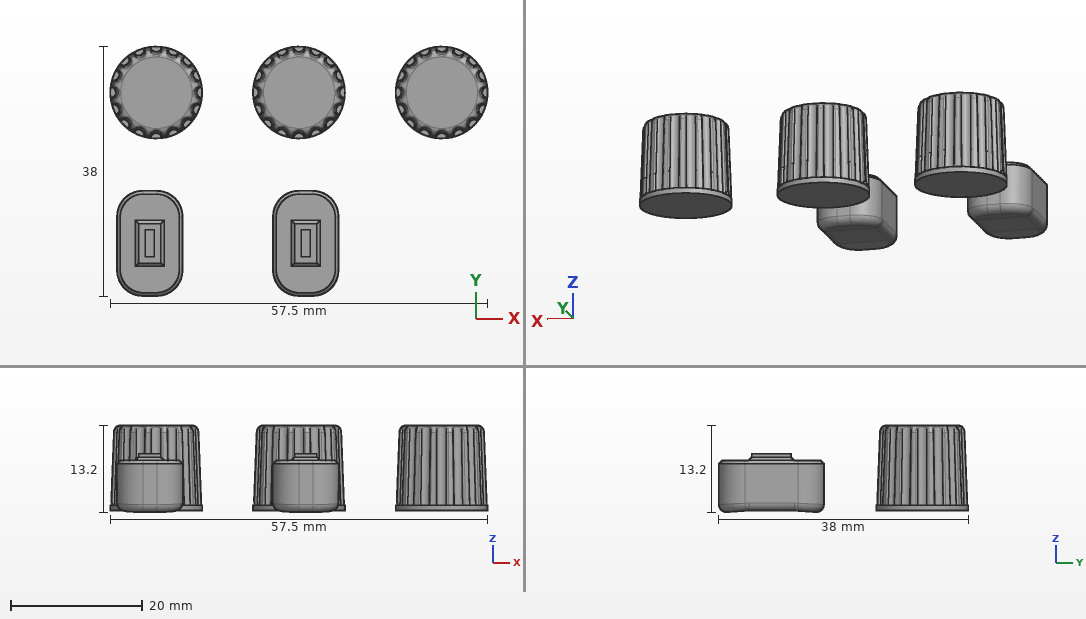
import cadquery as cq
import math

overall_width = 57.45
overall_depth = 38.0
knob_count = 3
button_count = 2
first_button_offset = -1.0
button_spacing = 23.7

base_diameter = 14.0
base_thickness = 0.85

knob_height = 13.0
grip_bottom_diameter = 13.9
grip_draft = 2.2
grip_top_fillet = 1.1

flute_count = 16
flute_floor_diameter = 12.35
flute_width = 1.45
flute_floor_sag = 0.4
flute_edge_radius = 0.25

notch_axis_height = -0.8
notch_mouth_radius = 2.5
notch_tip_radius = 2.0
notch_depth = 1.45

button_width = 10.0
button_length = 16.0
button_top = 7.65
button_corner_radius = 3.95
button_top_chamfer = 0.5
underside_flat_length = 6.9
underside_slope = 4.0
button_bottom_fillet = 1.2

boss_width = 3.4
boss_length = 6.0
boss_height = 1.05
boss_foot_size = 0.5
slot_width = 1.4
slot_length = 4.15
slot_depth = 2.9

base_radius = base_diameter / 2
knob_spacing = (overall_width - base_diameter) / (knob_count - 1)
button_row_y = -(overall_depth - base_radius - button_length / 2)


def make_base():
    return cq.Workplane("XY").circle(base_radius).extrude(base_thickness)


def make_flute_cutter():
    """Channel on the +X side with a concave floor, leaning inward with the draft of the grip."""
    half_width = flute_width / 2
    floor_x = flute_floor_diameter / 2
    channel_depth = 2 * (base_radius - floor_x)
    channel = (
        cq.Workplane("XY", origin=(floor_x, 0, base_thickness - 0.6))
        .moveTo(flute_floor_sag, -half_width)
        .threePointArc((0, 0), (flute_floor_sag, half_width))
        .lineTo(channel_depth, half_width)
        .lineTo(channel_depth, -half_width)
        .close()
        .extrude(knob_height)
    )
    return channel.rotate((floor_x, 0, base_thickness), (floor_x, 1, base_thickness), -grip_draft)


def make_grip_sector():
    """One flute pitch of the grip, centred on +X, with the rim of its flute rounded."""
    blank = (
        cq.Workplane("XY", origin=(0, 0, base_thickness))
        .circle(grip_bottom_diameter / 2)
        .extrude(knob_height - base_thickness, taper=grip_draft)
        .faces(">Z")
        .edges()
        .fillet(grip_top_fillet)
        .rotate((0, 0, 0), (0, 0, 1), 180)
    )
    reach = base_diameter
    half_side = reach * math.tan(math.pi / flute_count)
    wedge = (
        cq.Workplane("XY")
        .polyline([(0, 0), (reach, -half_side), (reach, half_side)])
        .close()
        .extrude(2 * knob_height)
    )
    sector = blank.intersect(wedge).cut(make_flute_cutter())
    margin = 0.05
    rim_zone = cq.selectors.BoxSelector(
        (0, -flute_width / 2 - margin, base_thickness + margin),
        (base_diameter, flute_width / 2 + margin, knob_height - margin),
    )
    rim_edges = [edge for edge in sector.edges(rim_zone).vals() if edge.geomType() != "LINE"]
    return sector.newObject(rim_edges).fillet(flute_edge_radius)


def make_notch_cutter():
    """Cone about an axis along X, widest at the outer surface."""
    return (
        cq.Workplane("YZ", origin=(-base_radius, 0, notch_axis_height))
        .circle(notch_mouth_radius)
        .workplane(offset=notch_depth)
        .circle(notch_tip_radius)
        .loft()
    )


def make_grip():
    sector = make_grip_sector().val()
    sectors = [
        sector.rotate(cq.Vector(0, 0, 0), cq.Vector(0, 0, 1), 360 * i / flute_count)
        for i in range(flute_count)
    ]
    grip = cq.Workplane(sectors[0].fuse(*sectors[1:]).clean())
    return grip.cut(make_notch_cutter()).solids()


def make_button():
    half_length = button_length / 2
    half_flat = underside_flat_length / 2
    end_drop = (half_length - half_flat) * math.tan(math.radians(underside_slope))
    block = (
        cq.Workplane("YZ", origin=(-button_width / 2, 0, 0))
        .polyline(
            [
                (-half_length, button_top),
                (-half_length, -end_drop),
                (-half_flat, 0),
                (half_flat, 0),
                (half_length, -end_drop),
                (half_length, button_top),
            ]
        )
        .close()
        .extrude(button_width)
        .edges("|Z")
        .fillet(button_corner_radius)
        .faces(">Z")
        .edges()
        .chamfer(button_top_chamfer)
    )
    low_edges = cq.selectors.BoxSelector(
        (-button_width, -button_length, -button_top / 2),
        (button_width, button_length, button_top / 2),
    )
    upright_edges = cq.selectors.ParallelDirSelector(cq.Vector(0, 0, 1))
    crease_zone = half_flat + 0.6
    creases = cq.selectors.BoxSelector(
        (-0.6, -crease_zone, -0.6),
        (0.6, crease_zone, 0.6),
    )
    block = block.edges(low_edges - upright_edges - creases).fillet(button_bottom_fillet)
    foot = (
        cq.Workplane("XY", origin=(0, 0, button_top))
        .rect(boss_width + 2 * boss_foot_size, boss_length + 2 * boss_foot_size)
        .extrude(boss_foot_size, taper=45)
    )
    boss = (
        cq.Workplane("XY", origin=(0, 0, button_top))
        .rect(boss_width, boss_length)
        .extrude(boss_height)
    )
    slot = (
        cq.Workplane("XY", origin=(0, 0, button_top + boss_height))
        .rect(slot_width, slot_length)
        .extrude(-slot_depth)
    )
    return block.union(foot).union(boss).cut(slot).solids()


base = make_base().val()
grip = make_grip().val()
button = make_button().val()

bodies = []
for i in range(knob_count):
    knob_place = cq.Location(cq.Vector(i * knob_spacing, 0, 0))
    bodies.append(base.moved(knob_place))
    bodies.append(grip.moved(knob_place))
for i in range(button_count):
    button_x = first_button_offset + i * button_spacing
    bodies.append(button.moved(cq.Location(cq.Vector(button_x, button_row_y, 0))))

result = cq.Compound.makeCompound(bodies)